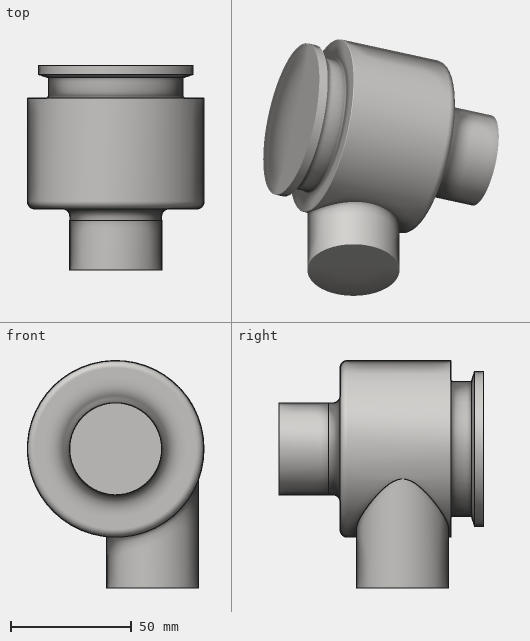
import cadquery as cq


overall_length = 84.58
overall_height = 94.03

body_dia = 73.0
body_length = 45.8
front_edge_radius = 3.0
rear_edge_radius = 0.3

tube_dia = 38.1
collar_dia = 38.0
collar_length = 4.8
collar_fillet = 3.0
front_tube_length = 20.5

neck_dia = 55.8
neck_fillet = 0.75
flange_dia = 64.0
flange_rim_thickness = 3.7
flange_taper_length = 1.35
rear_length = overall_length - body_length - collar_length - front_tube_length

side_tube_offset_x = 15.25
side_tube_y = -20.0
side_tube_end_z = overall_height - body_dia / 2


def cylinder_along_y(diameter, start_y, end_y):
    """Solid cylinder on the Y axis between two Y positions."""
    plane = cq.Workplane("XZ", origin=(0, start_y, 0))
    return plane.circle(diameter / 2).extrude(start_y - end_y)


def make_body():
    """Drum with a rounded front rim and a lightly broken rear edge."""
    body = cylinder_along_y(body_dia, 0, -body_length)
    body = body.faces("<Y").edges().fillet(front_edge_radius)
    return body.faces(">Y").edges().fillet(rear_edge_radius)


def make_front_nozzle():
    """Collar with a concave root fillet, and the tube ahead of it."""
    collar_radius = collar_dia / 2
    tube_radius = tube_dia / 2
    root_y = -body_length
    collar_y = root_y - collar_length
    tube_end_y = collar_y - front_tube_length
    profile = (
        cq.Workplane("XY")
        .moveTo(0, root_y / 2)
        .lineTo(collar_radius, root_y / 2)
        .lineTo(collar_radius + collar_fillet, root_y)
        .radiusArc((collar_radius, root_y - collar_fillet), -collar_fillet)
        .lineTo(collar_radius, collar_y)
        .lineTo(tube_radius, collar_y)
        .lineTo(tube_radius, tube_end_y)
        .lineTo(0, tube_end_y)
        .close()
    )
    return profile.revolve(360, (0, 0, 0), (0, 1, 0))


def make_rear_flange():
    """Neck with a small root fillet, ending in a tapered clamp flange."""
    neck_radius = neck_dia / 2
    flange_radius = flange_dia / 2
    rim_y = rear_length - flange_rim_thickness
    profile = (
        cq.Workplane("XY")
        .moveTo(0, -body_length / 2)
        .lineTo(neck_radius, -body_length / 2)
        .lineTo(neck_radius + neck_fillet, 0)
        .radiusArc((neck_radius, neck_fillet), neck_fillet)
        .lineTo(neck_radius, rim_y - flange_taper_length)
        .lineTo(flange_radius, rim_y)
        .lineTo(flange_radius, rear_length)
        .lineTo(0, rear_length)
        .close()
    )
    return profile.revolve(360, (0, 0, 0), (0, 1, 0))


def make_side_tube():
    """Tube running down from inside the body."""
    plane = cq.Workplane("XY", origin=(side_tube_offset_x, side_tube_y, 0))
    return plane.circle(tube_dia / 2).extrude(-side_tube_end_z)


result = (
    make_body()
    .union(make_front_nozzle())
    .union(make_rear_flange())
    .union(make_side_tube())
)